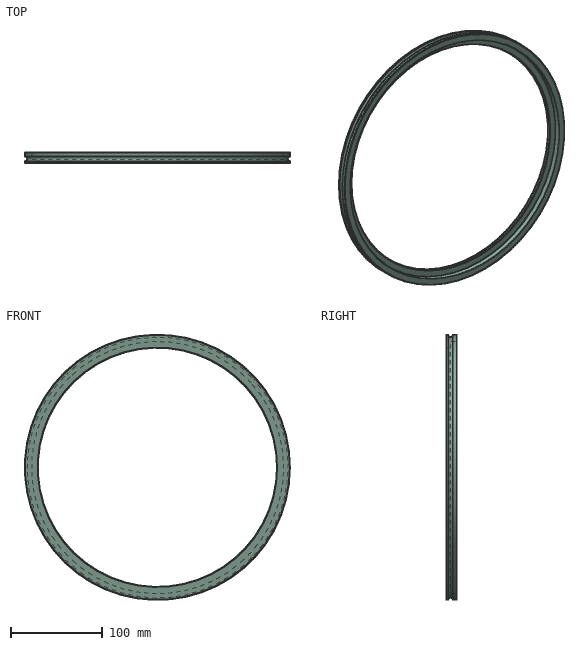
import cadquery as cq

outer_diameter = 290.0
inner_diameter = 261.0
width = 12.0
edge_chamfer = 0.44

recess_diameter = 275.5
land_length = 4.5

groove_radius = 2.52
groove_offset = -1.07

outer_radius = outer_diameter / 2
inner_radius = inner_diameter / 2
recess_radius = recess_diameter / 2
front = -width / 2
back = width / 2


def grooved_ring():
    """Stepped ring with a half-round rim groove and chamfered outer and bore edges."""
    land_back = front + land_length
    section = (
        cq.Workplane("XY")
        .moveTo(inner_radius + edge_chamfer, front)
        .lineTo(outer_radius - edge_chamfer, front)
        .lineTo(outer_radius, front + edge_chamfer)
        .lineTo(outer_radius, groove_offset - groove_radius)
        .threePointArc(
            (outer_radius - groove_radius, groove_offset),
            (outer_radius, groove_offset + groove_radius),
        )
        .lineTo(outer_radius, back - edge_chamfer)
        .lineTo(outer_radius - edge_chamfer, back)
        .lineTo(recess_radius, back)
        .lineTo(recess_radius, land_back)
        .lineTo(inner_radius + edge_chamfer, land_back)
        .lineTo(inner_radius, land_back - edge_chamfer)
        .lineTo(inner_radius, front + edge_chamfer)
        .close()
    )
    return section.revolve(360, (0, 0), (0, 1))


result = grooved_ring()